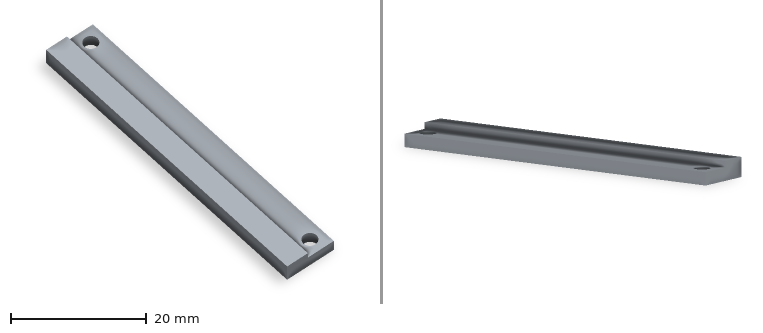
import cadquery as cq

length = 55.0
width = 9.0
height = 3.0

rail_width = 4.0
ledge_height = 2.0

hole_diameter = 2.5
hole_edge_distance = 2.5


def stepped_bar():
    """L-shaped section in the YZ plane, extruded along X and centred on X and Y."""
    front = -width / 2
    back = width / 2
    step = front + rail_width
    return (
        cq.Workplane("YZ")
        .polyline([
            (front, 0),
            (back, 0),
            (back, ledge_height),
            (step, ledge_height),
            (step, height),
            (front, height),
        ])
        .close()
        .extrude(length / 2, both=True)
    )


def mounting_holes():
    """Cylinders for the two through holes in the ledge."""
    hole_x = length / 2 - hole_edge_distance
    hole_y = width / 2 - hole_edge_distance
    return (
        cq.Workplane("XY")
        .pushPoints([(-hole_x, hole_y), (hole_x, hole_y)])
        .circle(hole_diameter / 2)
        .extrude(height)
    )


result = stepped_bar().cut(mounting_holes())